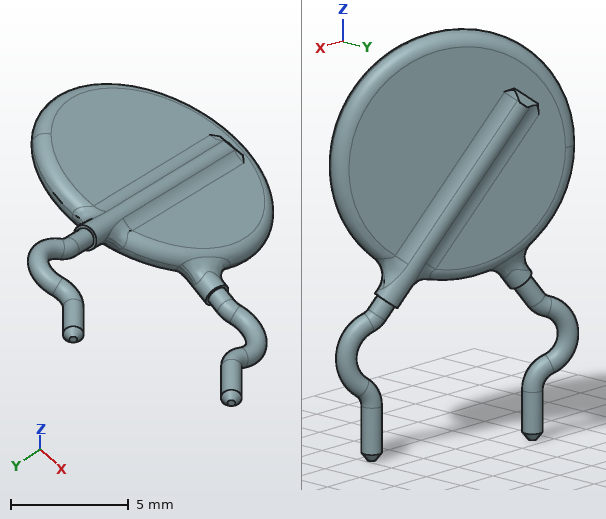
import cadquery as cq
import math

turn_angle = -27
total_height = 18.5

disc_thickness = 1.2
disc_radius = 5.5
rim_radius = disc_thickness / 2
face_radius = disc_radius - rim_radius
disc_center_z = total_height - disc_radius

wire_radius = 0.45
wire_offset = 0.33
foot_x = 3.75
tip_height = 0.35
tip_radius = 0.17
entry_bend_radius = 0.92
front_loop_center = (-4.01, 4.51)
front_loop_radius = 1.35
front_foot_bend_z = 2.2
back_loop_center = (-3.3, 4.59)
back_loop_radius = 1.61
back_foot_bend_z = 2.42

sleeve_radius = 0.57
flank_radius = 1.11
lead_angle = 53.7
front_sleeve = (-6.27, 4.5)
back_sleeve = (-6.45, 3.7)
cap_length = 0.37
cap_base_width = 1.96
cap_nose_width = 1.33
cap_slope_angle = 54

along_x = math.cos(math.radians(lead_angle))
along_z = math.sin(math.radians(lead_angle))
lead_middle_z = 12.15
front_middle_x = 0.5
back_middle_x = 0.72


def on_axis(middle_x, distance):
    """Point on the slanted wire axis, measured from its middle."""
    return (middle_x + distance * along_x, lead_middle_z + distance * along_z)


def toward(start, end, distance):
    """Point at a distance from start on the line to end."""
    fraction = distance / math.dist(start, end)
    return (start[0] + fraction * (end[0] - start[0]), start[1] + fraction * (end[1] - start[1]))


def arc_middle(center, start, end):
    """Middle point of the minor arc from start to end."""
    chord_middle = ((start[0] + end[0]) / 2, (start[1] + end[1]) / 2)
    return toward(center, chord_middle, math.dist(center, start))


def make_disc():
    slab = cq.Workplane("XZ").circle(face_radius).extrude(rim_radius, both=True)
    rim_profile = cq.Workplane("XY").center(face_radius, 0).circle(rim_radius)
    rim = rim_profile.revolve(360, (-face_radius, 0), (-face_radius, 1))
    return slab.union(rim).translate((0, 0, disc_center_z))


def make_wire(middle_x, loop_center, loop_radius, foot_bend_z):
    """Wire from the pointed foot, around the outward loop and up into the sleeve."""
    dx = loop_center[0] + foot_x
    dz = loop_center[1] - foot_bend_z
    foot_bend_radius = (dx**2 + dz**2 - loop_radius**2) / (2 * (loop_radius - dx))
    foot_center = (-foot_x - foot_bend_radius, foot_bend_z)
    foot_start = (-foot_x, foot_bend_z)
    loop_start = toward(loop_center, foot_center, loop_radius)

    rel_x = loop_center[0] - middle_x
    rel_z = loop_center[1] - lead_middle_z
    loop_along = rel_x * along_x + rel_z * along_z
    loop_aside = rel_x * along_z - rel_z * along_x
    reach = math.sqrt((loop_radius + entry_bend_radius) ** 2 - (loop_aside + entry_bend_radius) ** 2)
    axis_start = on_axis(middle_x, loop_along + reach)
    entry_center = (
        axis_start[0] - entry_bend_radius * along_z,
        axis_start[1] + entry_bend_radius * along_x,
    )
    loop_end = toward(loop_center, entry_center, loop_radius)
    loop_middle = (loop_center[0] - loop_radius, loop_center[1])

    path = (
        cq.Workplane("XZ")
        .moveTo(-foot_x, tip_height)
        .lineTo(*foot_start)
        .threePointArc(arc_middle(foot_center, foot_start, loop_start), loop_start)
        .threePointArc(loop_middle, loop_end)
        .threePointArc(arc_middle(entry_center, loop_end, axis_start), axis_start)
        .lineTo(*on_axis(middle_x, 0))
    )
    section = cq.Workplane("XY", origin=(-foot_x, 0, tip_height)).circle(wire_radius)
    wire = section.sweep(path)
    tip = cq.Solid.makeCone(tip_radius, wire_radius, tip_height, cq.Vector(-foot_x, 0, 0))
    return wire.union(cq.Workplane(tip)).translate((0, -wire_offset, 0))


def axis_plane(middle_x, distance):
    """Plane across the wire axis, facing up along it."""
    x, z = on_axis(middle_x, distance)
    return cq.Plane((x, -wire_offset, z), (along_z, 0, -along_x), (along_x, 0, along_z))


def add_sleeve(body, middle_x, start, end):
    """Join a sleeve to the -Y face of the disc, blended where they meet, with a tapered upper end."""
    sleeve = cq.Workplane(axis_plane(middle_x, start)).circle(sleeve_radius).extrude(end - start)
    joined = body.union(sleeve)
    axis_direction = cq.Vector(along_x, 0, along_z)
    face_edge = (
        joined.faces("%PLANE")
        .edges(cq.selectors.ParallelDirSelector(axis_direction))
        .edges("<Y")
        .edges("<X")
    )
    blended = face_edge.fillet(flank_radius)
    end_x, end_z = on_axis(middle_x, end)
    ridge_point = (end_x, -wire_offset - sleeve_radius / 2, end_z)
    end_face = blended.faces(cq.selectors.NearestToPointSelector(ridge_point))
    cap_direction = axis_direction * cap_length
    cap = cq.Workplane(cq.Solid.extrudeLinear(end_face.val(), cap_direction))
    face_plane = cq.Plane((end_x, -rim_radius, end_z), axis_direction.toTuple(), (0, -1, 0))
    walls = (
        cq.Workplane(face_plane)
        .moveTo(-cap_base_width, -cap_base_width / 2)
        .lineTo(0, -cap_base_width / 2)
        .lineTo(cap_length, -cap_nose_width / 2)
        .lineTo(cap_length, cap_nose_width / 2)
        .lineTo(0, cap_base_width / 2)
        .lineTo(-cap_base_width, cap_base_width / 2)
        .close()
        .extrude(sleeve_radius + wire_offset - rim_radius, taper=cap_slope_angle)
    )
    return blended.union(cap.intersect(walls))


def half_turn(body):
    return body.rotate((0, 0, 0), (0, 0, 1), 180)


back_wire = make_wire(back_middle_x, back_loop_center, back_loop_radius, back_foot_bend_z)
front_wire = make_wire(front_middle_x, front_loop_center, front_loop_radius, front_foot_bend_z)

coating = half_turn(add_sleeve(make_disc(), back_middle_x, *back_sleeve))
coating = add_sleeve(coating, front_middle_x, *front_sleeve)

part = coating.union(half_turn(back_wire)).union(front_wire)
result = part.rotate((0, 0, 0), (0, 0, 1), turn_angle)